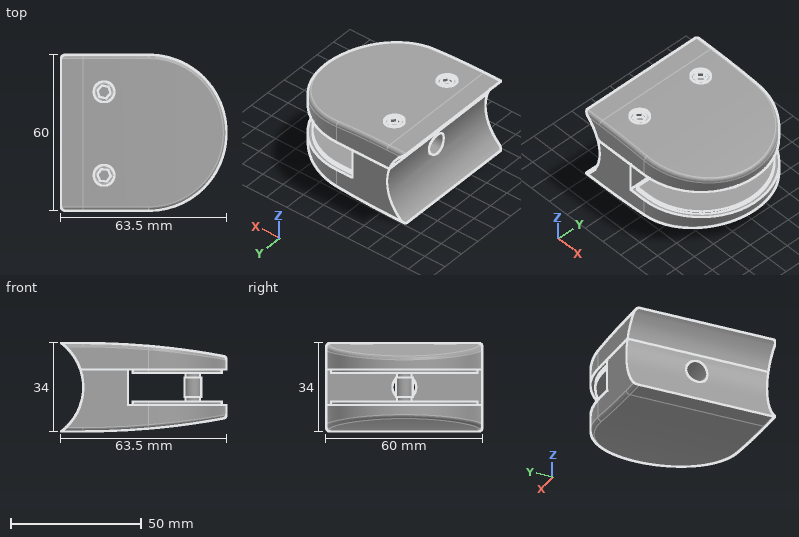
import cadquery as cq


length = 63.5
width = 60.0
height = 34.0
edge_fillet = 1.5
crown_radius = 292.25

post_radius = 21.2
fixing_hole_diameter = 9.0

slot_start = 25.7
slot_height = 13.55
gasket_start = 27.45
gasket_inset = 1.85
gasket_thickness = 1.35

screw_x = 16.5
screw_offset = -0.3
screw_spacing = 32.0
head_diameter = 7.95
head_depth = 0.6
head_rounding = 0.7
socket_corner_diameter = 5.2
socket_depth = 2.3
socket_turns = {1: -12.0, -1: -6.0}

pin_x = 50.6
pin_diameter = 6.55
pin_neck_diameter = 5.65
pin_barrel_length = 7.5

half_height = height / 2
half_slot = slot_height / 2
nose_radius = width / 2
nose_centre_x = length - nose_radius
saddle_depth = post_radius - (post_radius**2 - half_height**2) ** 0.5
post_axis_x = saddle_depth - post_radius
glass_gap = slot_height - 2 * gasket_thickness


def crown_height(x):
    """Height of the crowned top at x, where x is on or beyond the saddle's deepest line."""
    run = x - saddle_depth
    return half_height - crown_radius + (crown_radius**2 - run**2) ** 0.5


def d_shape(start_x, radius, bottom_z, thickness):
    """Plate with straight sides from start_x and a round nose about the nose centre."""
    return (
        cq.Workplane("XY", origin=(0, 0, bottom_z))
        .moveTo(start_x, -radius)
        .lineTo(nose_centre_x, -radius)
        .threePointArc((nose_centre_x + radius, 0), (nose_centre_x, radius))
        .lineTo(start_x, radius)
        .close()
        .extrude(thickness)
    )


def make_side_profile():
    """Solid with the crowned side outline, as wide as the clamp."""
    middle_x = (saddle_depth + length) / 2
    return (
        cq.Workplane("XZ", origin=(0, width / 2, 0))
        .moveTo(0, half_height)
        .lineTo(saddle_depth, half_height)
        .threePointArc((middle_x, crown_height(middle_x)), (length, crown_height(length)))
        .lineTo(length, -crown_height(length))
        .threePointArc((middle_x, -crown_height(middle_x)), (saddle_depth, -half_height))
        .lineTo(0, -half_height)
        .close()
        .extrude(width)
    )


def make_clamp_blank():
    """Base and cover in one piece: rounded block with the saddle, slot and fixing hole."""
    block = d_shape(0, nose_radius, -half_height, height).intersect(make_side_profile())
    block = block.edges("not(|Y or |Z)").fillet(edge_fillet)
    post = (
        cq.Workplane("XZ", origin=(post_axis_x, 0, 0))
        .circle(post_radius)
        .extrude(width, both=True)
    )
    slot = cq.Workplane("XY").box(length, width, slot_height, centered=(False, True, True))
    slot = slot.translate((slot_start, 0, 0))
    fixing_hole = cq.Workplane("YZ").circle(fixing_hole_diameter / 2).extrude(slot_start)
    return block.cut(post).cut(slot).cut(fixing_hole)


def make_gasket(bottom_z):
    return d_shape(gasket_start, nose_radius - gasket_inset, bottom_z, gasket_thickness)


def cut_screw_head(cover, side):
    """Sunken screw head: a groove round its rounded rim, and a hexagon socket."""
    centre = (screw_x, screw_offset + side * screw_spacing / 2, 0)
    head_top = half_height - head_depth
    groove_bottom = cq.Workplane("XY", origin=centre).workplane(offset=head_top - head_rounding)
    recess = groove_bottom.circle(head_diameter / 2).extrude(head_depth + head_rounding)
    head_radius = head_diameter / 2
    top_radius = head_radius - head_rounding
    head = (
        cq.Workplane("XZ")
        .lineTo(head_radius, 0)
        .radiusArc((top_radius, head_rounding), -head_rounding)
        .lineTo(0, head_rounding)
        .close()
        .revolve(360, (0, 0, 0), (0, 1, 0))
        .translate((centre[0], centre[1], head_top - head_rounding))
    )
    socket = (
        cq.Workplane("XY", origin=centre)
        .workplane(offset=head_top - socket_depth)
        .transformed(rotate=(0, 0, socket_turns[side]))
        .polygon(6, socket_corner_diameter)
        .extrude(socket_depth)
    )
    return cover.cut(recess.cut(head)).cut(socket)


def make_cover(blank):
    """Upper part, from the top of the slot upwards, with its gasket and screw heads."""
    above_slot = cq.Workplane("XY").box(length, width, height, centered=(False, True, False))
    cover = blank.intersect(above_slot.translate((0, 0, half_slot)))
    for side in socket_turns:
        cover = cut_screw_head(cover, side)
    return cover.union(make_gasket(half_slot - gasket_thickness))


def make_base(blank):
    """Lower part with the post saddle, the slot and its gasket."""
    below_cover = cq.Workplane("XY").box(length, width, height, centered=(False, True, False))
    base = blank.intersect(below_cover.translate((0, 0, half_slot - height)))
    return base.union(make_gasket(-half_slot))


def make_pin():
    """Stepped pin that stands between the two gaskets."""
    neck = cq.Workplane("XY").circle(pin_neck_diameter / 2).extrude(glass_gap)
    barrel = cq.Workplane("XY").circle(pin_diameter / 2).extrude(pin_barrel_length)
    neck = neck.translate((pin_x, 0, -glass_gap / 2))
    barrel = barrel.translate((pin_x, 0, -pin_barrel_length / 2))
    return neck.union(barrel)


clamp_blank = make_clamp_blank()
cover = make_cover(clamp_blank)
base = make_base(clamp_blank)
pin = make_pin()

result = cq.Compound.makeCompound([base.val(), cover.val(), pin.val()])